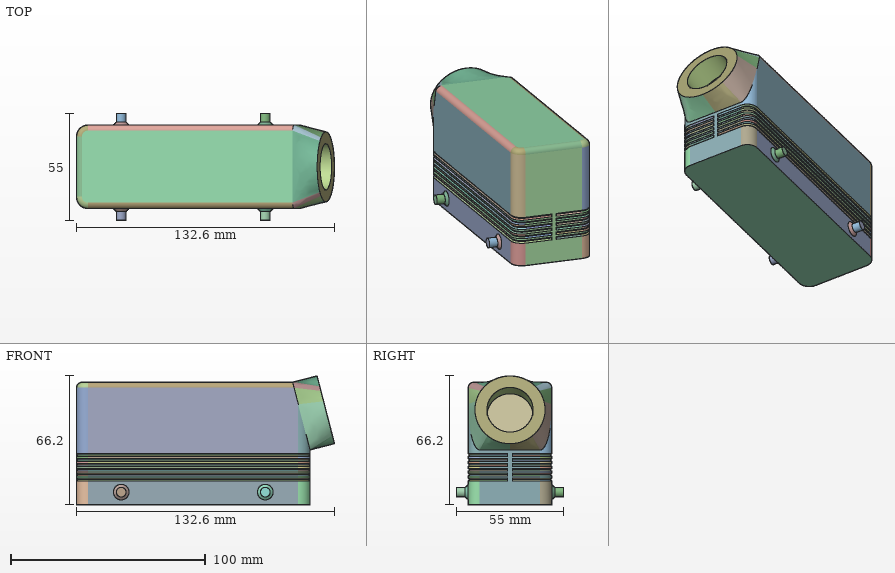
import cadquery as cq
import math

LENGTH = 120.0
WIDTH = 43.0
HEIGHT = 63.0
CORNER_RADIUS = 6.0
TOP_RADIUS = 3.0

GROOVE_COUNT = 6
GROOVE_WIDTH = 1.5
GROOVE_DEPTH = GROOVE_WIDTH / 2
GROOVE_PITCH = 2.5
FIRST_GROOVE_Z = 13.0
END_GAP = 2.4

PEG_SPAN = 55.0
PEG_SPACING = 74.0
PEG_Z = 6.5
PEG_RADIUS = 2.5
FOOT_RADIUS = 4.0
FOOT_HEIGHT = 1.5

OUTLET_TILT = 14.4
OUTLET_DIAMETER = 36.0
OUTLET_LENGTH = 13.0
BORE_DIAMETER = 23.7
BORE_DEPTH = OUTLET_LENGTH

TILT = math.radians(OUTLET_TILT)
OUTLET_AXIS = cq.Vector(math.cos(TILT), 0, math.sin(TILT))
CUT_CENTER = cq.Vector(
    LENGTH / 2 - OUTLET_DIAMETER / 2 * math.sin(TILT),
    0,
    HEIGHT - OUTLET_DIAMETER / 2 * math.cos(TILT),
)
MOUTH_CENTER = CUT_CENTER + OUTLET_AXIS * OUTLET_LENGTH


def outlet_plane(center):
    """Plane square to the outlet axis, with its local X pointing down the slope."""
    down_slope = cq.Vector(math.sin(TILT), 0, -math.cos(TILT))
    return cq.Plane(origin=center, xDir=down_slope, normal=OUTLET_AXIS)


def rounded_block():
    """Block with rounded upright corners and a rounded top rim."""
    block = cq.Workplane("XY").box(LENGTH, WIDTH, HEIGHT, centered=(True, True, False))
    block = block.edges("|Z").fillet(CORNER_RADIUS)
    return block.faces(">Z").edges().fillet(TOP_RADIUS)


def cut_for_outlet(block):
    """Remove everything beyond the sloping outlet plane."""
    beyond = cq.Workplane(outlet_plane(CUT_CENTER)).rect(LENGTH, LENGTH).extrude(LENGTH)
    return block.cut(beyond)


def spout(body):
    """Blend from the outline of the sloping cut to the round mouth."""
    cut_outline = body.faces(cq.selectors.DirectionNthSelector(OUTLET_AXIS, -1)).wires().val()
    mouth = cq.Workplane(outlet_plane(MOUTH_CENTER)).circle(OUTLET_DIAMETER / 2).wires().val()
    return cq.Workplane(cq.Solid.makeLoft([cut_outline, mouth], True))


def bore():
    """Round cable hole going in from the mouth along the outlet axis."""
    return cq.Workplane(outlet_plane(MOUTH_CENTER)).circle(BORE_DIAMETER / 2).extrude(-BORE_DEPTH)


def body_layer(z, inset):
    """Outline of the body at height z, pulled in by an inset."""
    return (
        cq.Sketch()
        .rect(LENGTH - 2 * inset, WIDTH - 2 * inset)
        .vertices()
        .fillet(CORNER_RADIUS - inset)
        .moved(cq.Location(cq.Vector(0, 0, z)))
    )


def groove(middle):
    """Ring to remove: V-shaped towards the body and interrupted at the middle of both ends."""
    bottom = middle - GROOVE_WIDTH / 2
    top = middle + GROOVE_WIDTH / 2
    ring = cq.Workplane("XY").placeSketch(body_layer(bottom, 0)).extrude(GROOVE_WIDTH)
    waist = body_layer(middle, GROOVE_DEPTH)
    lower_core = cq.Workplane("XY").placeSketch(body_layer(bottom, 0), waist).loft(ruled=True)
    upper_core = cq.Workplane("XY").placeSketch(waist, body_layer(top, 0)).loft(ruled=True)
    end_bridge = (
        cq.Workplane("XY")
        .workplane(offset=bottom)
        .rect(LENGTH, END_GAP)
        .extrude(GROOVE_WIDTH)
    )
    return ring.cut(lower_core).cut(upper_core).cut(end_bridge)


def peg_pair(x):
    """Two opposite pegs at one X position, turned about a common axis along Y."""
    half_span = PEG_SPAN / 2
    face = WIDTH / 2
    profile = (
        cq.Workplane("XY")
        .polyline(
            [
                (0, 0),
                (FOOT_RADIUS, 0),
                (FOOT_RADIUS, face),
                (PEG_RADIUS, face + FOOT_HEIGHT),
                (PEG_RADIUS, half_span),
                (0, half_span),
            ]
        )
        .close()
    )
    peg = profile.revolve(360, (0, 0, 0), (0, 1, 0))
    pair = peg.union(peg.mirror("XZ"))
    return pair.translate((x, 0, PEG_Z))


body = cut_for_outlet(rounded_block())
result = body.union(spout(body))
result = result.cut(bore())

for index in range(GROOVE_COUNT):
    result = result.cut(groove(FIRST_GROOVE_Z + index * GROOVE_PITCH))

for peg_x in (-PEG_SPACING / 2, PEG_SPACING / 2):
    result = result.union(peg_pair(peg_x))